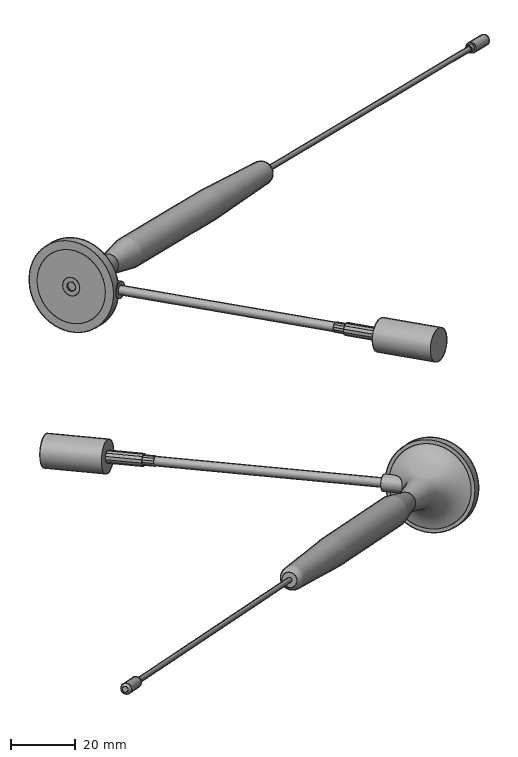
import cadquery as cq

total_length = 271.8
total_width = 141.4
cable_axis_height = 4.3

foot_diameter = 29.5
foot_radius = foot_diameter / 2
rim_height = 3.5
flare_edge_radius = 13.5
flare_top_height = 13.9
flare_top_radius = 5.0
flare_arc_radius = 12.0
neck_height = 24.7
neck_radius = 3.3
outlet_radius = 2.7
outlet_start = 6.8
outlet_end = 15.0

magnet_radius = 12.0
magnet_thickness = 2.7
screw_radius = 3.0
socket_radius = 1.5
socket_depth = 0.5

mast_diameter = 10.0
mast_radius = mast_diameter / 2
mast_taper_start_height = 36.7
mast_body_top_height = 89.7
mast_shoulder_height = 123.7
mast_shoulder_radius = 3.8
mast_top_height = 126.7
mast_top_radius = 2.5
mast_top_arc_radius = 3.3

whip_radius = 0.8
cap_radius = 1.77
cap_length = 9.5
cap_chamfer = 0.8
cap_collar_radius = 1.22
cap_collar_length = 1.5

cable_radius = 1.5
connector_radius = 5.5
connector_length = 20.5
crimp_facets = 12
crimp_length = 12.0
crimp_radius = 2.05
crimp_tail_length = 3.8
crimp_tail_radius = 1.5

connector_end = total_width - foot_radius
connector_start = connector_end - connector_length
crimp_start = connector_start - crimp_length
crimp_tail_start = crimp_start - crimp_tail_length
tip_height = total_length + cable_axis_height - connector_radius


def revolve_about_y(outline):
    """Turn a closed outline, drawn in the XY plane, about the Y axis."""
    return outline.close().revolve(360, (0, 0, 0), (0, 1, 0))


def rod_along_y(radius, start, end):
    return cq.Workplane("XZ", origin=(0, start, 0)).circle(radius).extrude(start - end)


def cable_section(start):
    """Workplane across the cable axis at X = start, extruding toward +X."""
    return cq.Workplane("YZ", origin=(start, cable_axis_height, 0))


def rod_along_cable(radius, start, end):
    return cable_section(start).circle(radius).extrude(end - start)


def faceted_rod_along_cable(corner_radius, start, end):
    """Regular prism along the cable axis with a flat facing straight up."""
    half_facet_angle = 180 / crimp_facets
    section = cable_section(start).transformed(rotate=(0, 0, half_facet_angle))
    return section.polygon(crimp_facets, 2 * corner_radius).extrude(end - start)


def make_foot():
    body = revolve_about_y(
        cq.Workplane("XY")
        .lineTo(foot_radius, 0)
        .lineTo(foot_radius, rim_height)
        .lineTo(flare_edge_radius, rim_height)
        .radiusArc((flare_top_radius, flare_top_height), flare_arc_radius)
        .lineTo(neck_radius, neck_height)
        .lineTo(0, neck_height)
    )
    outlet = rod_along_cable(outlet_radius, outlet_start, outlet_end)
    magnet_recess = rod_along_y(magnet_radius, 0, magnet_thickness)
    return body.union(outlet).cut(magnet_recess)


def make_magnet():
    return rod_along_y(magnet_radius, 0, magnet_thickness).cut(rod_along_y(screw_radius, 0, magnet_thickness))


def make_screw():
    return rod_along_y(screw_radius, 0, magnet_thickness).cut(rod_along_y(socket_radius, 0, socket_depth))


def make_mast():
    return revolve_about_y(
        cq.Workplane("XY")
        .moveTo(0, neck_height)
        .lineTo(neck_radius, neck_height)
        .lineTo(mast_radius, mast_taper_start_height)
        .lineTo(mast_radius, mast_body_top_height)
        .lineTo(mast_shoulder_radius, mast_shoulder_height)
        .radiusArc((mast_top_radius, mast_top_height), -mast_top_arc_radius)
        .lineTo(0, mast_top_height)
    )


def make_whip():
    cap_start = tip_height - cap_length
    collar_start = cap_start - cap_collar_length
    rod = rod_along_y(whip_radius, mast_top_height, collar_start)
    collar = rod_along_y(cap_collar_radius, collar_start, cap_start)
    cap = rod_along_y(cap_radius, cap_start, tip_height).faces(">Y").chamfer(cap_chamfer)
    return rod.union(collar).union(cap)


def make_cable():
    return rod_along_cable(cable_radius, outlet_end, crimp_tail_start)


def make_connector():
    tail = faceted_rod_along_cable(crimp_tail_radius, crimp_tail_start, crimp_start)
    crimp = faceted_rod_along_cable(crimp_radius, crimp_start, connector_start)
    shell = rod_along_cable(connector_radius, connector_start, connector_end)
    return shell.union(crimp).union(tail)


foot = make_foot()
magnet = make_magnet()
screw = make_screw()
mast = make_mast()
whip = make_whip()
cable = make_cable()
connector = make_connector()

result = cq.Compound.makeCompound(
    [foot.val(), magnet.val(), screw.val(), mast.val(), whip.val(), cable.val(), connector.val()]
)